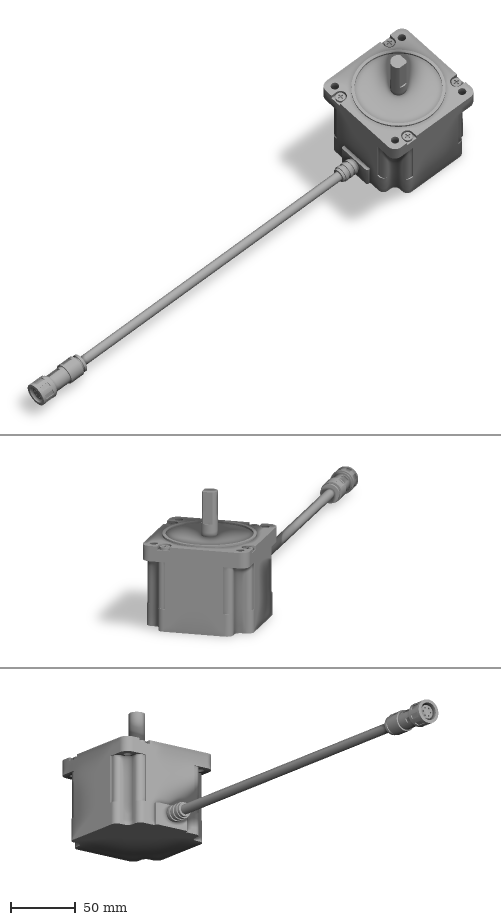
import cadquery as cq
import math

cap_height = 18.0
lamination_top = 55.7
flange_face = 68.0
pilot_height = 1.5
shaft_top = 103.63

width = 86.0
half_width = width / 2
flange_corner_radius = 7.0
hole_spacing = 69.6
hole_diameter = 6.5
pilot_diameter = 73.0
pilot_recess_diameter = 68.0
shaft_diameter = 12.7
shaft_flat_depth = 1.2
shaft_flat_start = flange_face + 10.0

channel_wall = 30.0
channel_root_radius = 4.8
cap_lobe_radius = 5.0
stack_lobe_radius = 4.0
stack_inset = 1.0
stack_inset_start = 23.5

tie_screw_along = 24.7
tie_screw_across = 38.0
tie_pocket_width = 10.0
tie_pocket_depth = 3.0
tie_head_diameter = 8.0
tie_head_height = 2.2
tie_slot_length = 5.0
tie_slot_width = 1.2
tie_slot_depth = 1.2

plate_width = 30.0
plate_thickness = 3.0
plate_chamfer = 1.0
plate_face = half_width + plate_thickness

cable_height = 10.8
cable_diameter = 7.8
boot_length = 16.0
boot_rib_diameter = 13.2
boot_neck_diameter = 11.4
boot_rib_count = 3
boot_rib_length = 2.6
boot_groove_length = 2.0

connector_start = 330.0
clamp_end = 334.3
nut_end = 346.8
barrel_end = 362.0
ring_start = 363.5
connector_end = 376.51

clamp_diameter = 15.2
clamp_groove_diameter = 13.6
nut_diameter = 17.0
barrel_diameter = 14.6
ring_diameter = 19.0

grip_count = 8
grip_length = 8.0
grip_width = 4.0
grip_depth = 0.8

nut_pad_start = 337.0
nut_pad_end = 345.0
nut_pad_width = 6.0
nut_pad_depth = 0.7
label_start = 349.5
label_end = 360.5
label_width = 5.5
label_depth = 1.0
latch_start = 356.0
latch_width = 3.5
pad_angle = 40.0
latch_angle = 120.0

socket_diameter = 14.0
socket_depth = 9.0
insert_diameter = 11.0
insert_setback = 2.0
contact_count = 6
contact_circle = 7.0
contact_diameter = 1.4
contact_depth = 5.0


def channelled_outline(half, lobe_radius):
    """Square sketch whose corners are cut by round-rooted channels with rounded lips."""
    lip = half - lobe_radius
    lobe_start = channel_wall - lobe_radius
    root_start = channel_wall + channel_root_radius
    bulge = math.sqrt(0.5)
    lobe_mid = lobe_radius * bulge
    root_mid = root_start - channel_root_radius * bulge

    outline = cq.Workplane("XY").moveTo(half, -lobe_start)
    for quarter in range(4):
        def at(x, y, turns=quarter):
            """Point turned about Z by a number of quarter turns."""
            for _ in range(turns):
                x, y = -y, x
            return x, y

        outline = (
            outline.lineTo(*at(half, lobe_start))
            .threePointArc(at(lip + lobe_mid, lobe_start + lobe_mid), at(lip, channel_wall))
            .lineTo(*at(root_start, channel_wall))
            .threePointArc(at(root_mid, root_mid), at(channel_wall, root_start))
            .lineTo(*at(channel_wall, lip))
            .threePointArc(at(lobe_start + lobe_mid, lip + lobe_mid), at(lobe_start, half))
        )
    return outline.close()


def make_stack():
    """Lamination stack: full-width centre faces, stepped in slightly beside the channels."""
    height = lamination_top - cap_height
    stack = channelled_outline(half_width - stack_inset, stack_lobe_radius).extrude(height)
    centre_width = 2 * stack_inset_start
    for size in ((width, centre_width), (centre_width, width)):
        stack = stack.union(cq.Workplane("XY").rect(*size).extrude(height))
    return stack.translate((0, 0, cap_height))


def make_flange():
    """Front flange with its mounting holes, raised pilot rim and sunken tie screws."""
    thickness = flange_face - lamination_top
    flange = (
        cq.Workplane("XY", origin=(0, 0, lamination_top))
        .rect(width, width).extrude(thickness)
        .edges("|Z").fillet(flange_corner_radius)
    )
    holes = (
        cq.Workplane("XY", origin=(0, 0, lamination_top))
        .rect(hole_spacing, hole_spacing, forConstruction=True)
        .vertices().circle(hole_diameter / 2).extrude(thickness)
    )
    pilot = (
        cq.Workplane("XY", origin=(0, 0, flange_face))
        .circle(pilot_diameter / 2).circle(pilot_recess_diameter / 2)
        .extrude(pilot_height)
    )
    flange = flange.cut(holes).union(pilot)
    for quarter in range(4):
        angle = 90 * quarter
        flange = flange.cut(tie_pocket().rotate((0, 0, 0), (0, 0, 1), angle))
        flange = flange.union(tie_head().rotate((0, 0, 0), (0, 0, 1), angle))
    return flange


def tie_pocket():
    """U-shaped pocket that opens through the -Y edge of the flange."""
    floor = cq.Workplane("XY", origin=(-tie_screw_along, -tie_screw_across, flange_face - tie_pocket_depth))
    round_end = floor.circle(tie_pocket_width / 2).extrude(tie_pocket_depth)
    mouth = floor.center(0, -tie_pocket_width / 2).rect(tie_pocket_width, tie_pocket_width)
    return round_end.union(mouth.extrude(tie_pocket_depth))


def tie_head():
    """Cross-slotted screw head standing in a tie pocket."""
    floor = cq.Workplane("XY", origin=(-tie_screw_along, -tie_screw_across, flange_face - tie_pocket_depth))
    head = floor.circle(tie_head_diameter / 2).extrude(tie_head_height)
    slot = floor.workplane(offset=tie_head_height - tie_slot_depth)
    for size in ((tie_slot_length, tie_slot_width), (tie_slot_width, tie_slot_length)):
        head = head.cut(slot.rect(*size).extrude(tie_slot_depth))
    return head


def make_shaft():
    """Output shaft with two flats at right angles, facing +X and +Y."""
    radius = shaft_diameter / 2
    shaft = cq.Workplane("XY", origin=(0, 0, flange_face)).circle(radius).extrude(shaft_top - flange_face)
    flat_centre = 2 * radius - shaft_flat_depth
    for centre in ((flat_centre, 0), (0, flat_centre)):
        flat = (
            cq.Workplane("XY", origin=(0, 0, shaft_flat_start))
            .center(*centre).rect(shaft_diameter, shaft_diameter)
            .extrude(shaft_top - shaft_flat_start)
        )
        shaft = shaft.cut(flat)
    return shaft


def make_motor():
    """Motor body: stack, flange and shaft in one solid."""
    return make_stack().union(make_flange()).union(make_shaft())


def make_end_cap():
    """Rear cap with the cable outlet plate on its -Y face."""
    cap = channelled_outline(half_width, cap_lobe_radius).extrude(cap_height)
    plate = (
        cq.Workplane("XY")
        .rect(plate_width, 2 * plate_face).extrude(cap_height)
        .edges("|Z and <Y").chamfer(plate_chamfer)
        .intersect(cq.Workplane("XY").center(0, -half_width).rect(width, width).extrude(cap_height))
    )
    return cap.union(plate)


def cylinder(start, end, diameter):
    """Cylinder on the cable axis between two distances from the motor axis."""
    return (
        cq.Workplane("XZ", origin=(0, -start, cable_height))
        .circle(diameter / 2).extrude(end - start)
    )


def make_cable():
    """Cable leaving the outlet plate through a ribbed boot."""
    boot_end = plate_face + boot_length
    cable = cylinder(plate_face, connector_start, cable_diameter)
    cable = cable.union(cylinder(plate_face, boot_end, boot_neck_diameter))
    pitch = boot_rib_length + boot_groove_length
    for index in range(boot_rib_count):
        rib_start = plate_face + boot_groove_length + index * pitch
        cable = cable.union(cylinder(rib_start, rib_start + boot_rib_length, boot_rib_diameter))
    return cable


def make_connector():
    """Stepped connector with a coupling ring around its open end."""
    groove_start = (connector_start + clamp_end) / 2
    body = cylinder(connector_start, groove_start, clamp_diameter)
    body = body.union(cylinder(groove_start, clamp_end, clamp_groove_diameter))
    body = body.union(cylinder(clamp_end, nut_end, nut_diameter))
    body = body.union(cylinder(nut_end, ring_start, barrel_diameter))
    body = body.union(cylinder(barrel_end, ring_start, nut_diameter))
    body = body.union(cylinder(ring_start, connector_end, ring_diameter))

    grip_middle = (ring_start + connector_end) / 2
    grip = (
        cq.Workplane("XY", origin=(0, -grip_middle, cable_height + ring_diameter / 2 - grip_depth))
        .rect(grip_width, grip_length).extrude(2 * grip_depth)
    )
    axis = ((0, 0, cable_height), (0, 1, cable_height))
    for index in range(grip_count):
        body = body.cut(grip.rotate(*axis, (index + 0.5) * 360 / grip_count))

    for start, end, diameter, span, depth, angle in (
        (nut_pad_start, nut_pad_end, nut_diameter, nut_pad_width, nut_pad_depth, pad_angle),
        (label_start, label_end, barrel_diameter, label_width, label_depth, pad_angle),
        (latch_start, label_end, barrel_diameter, latch_width, label_depth, latch_angle),
    ):
        pocket = (
            cq.Workplane("XY", origin=(0, -(start + end) / 2, cable_height + diameter / 2 - depth))
            .rect(span, end - start).extrude(diameter)
        )
        body = body.cut(pocket.rotate(*axis, -angle))

    socket_floor = connector_end - socket_depth
    body = body.cut(cylinder(socket_floor, connector_end, socket_diameter))
    insert_face = connector_end - insert_setback
    body = body.union(cylinder(socket_floor, insert_face, insert_diameter))
    contacts = (
        cq.Workplane("XZ", origin=(0, -insert_face + contact_depth, cable_height))
        .polarArray(contact_circle / 2, 0, 360, contact_count)
        .circle(contact_diameter / 2).extrude(contact_depth)
    )
    return body.cut(contacts)


def make_cable_assembly():
    """Cable with its moulded-on connector in one solid."""
    return make_cable().union(make_connector())


motor = make_motor()
end_cap = make_end_cap()
cable_assembly = make_cable_assembly()
result = cq.Compound.makeCompound([motor.val(), end_cap.val(), cable_assembly.val()])